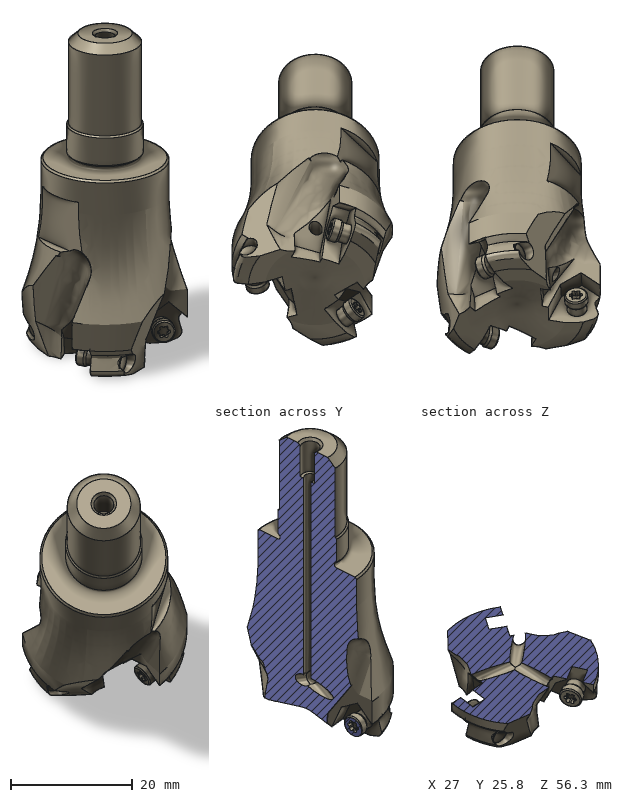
import cadquery as cq
import math


TOOTH_ANGLES = (60, 180, 300)

TOTAL_HEIGHT = 56.25
SHANK_RADIUS = 6.0
SHANK_TIP_RADIUS = 4.45
SHANK_CHAMFER_HEIGHT = 1.45
PILOT_RADIUS = 6.3
PILOT_TOP = 40.5
PILOT_BOTTOM = 35.4
PILOT_CHAMFER = 0.3
NECK_RADIUS = 5.85
NECK_TOP = 35.0
NECK_FILLET = 0.35
FLANGE_RADIUS = 10.5
FLANGE_TOP = 34.3
FLANGE_CHAMFER = 0.35
FLARE_TOP = 28.25
FLARE_BOTTOM = 10.1
CUTTER_RADIUS = 13.65
SHOULDER_Z = 5.45
RELIEF_RADIUS = 12.9
RELIEF_TOP = 4.4
RELIEF_BOTTOM = 3.9
RIM_RADIUS = 13.45
RIM_Z = 1.8
RIM_ARC_RADIUS = 1.7
RIM_LOWER_RADIUS = 12.7
RIM_LOWER_Z = 0.7
END_FACE_RADIUS = 10.95
DISH_RADIUS = 8.15
DISH_HEIGHT = 2.25

FLAT_DISTANCE = 9.45
FLAT_BOTTOM = 20.85
FLAT_TOP = 30.15

BORE_MOUTH_RADIUS = 2.1
BORE_RADIUS = 1.65
BORE_DEPTH = 6.75
COOLANT_RADIUS = 1.05
COOLANT_BOTTOM = 7.9

FLUTE_TOP = cq.Vector(11.85, -1.75, 18.5)
FLUTE_BOTTOM = cq.Vector(10.0, -8.15, 4.2)
FLUTE_TOP_RADIUS = 3.55
FLUTE_BOTTOM_RADIUS = 5.35
FLUTE_LEADING_ANGLE = 270
FLUTE_TOP_TANGENT = 127
FLUTE_BOTTOM_TANGENT = 170
STRIP_TOP_LENGTH = 4.4
STRIP_TOP_ANGLE = 62
STRIP_BOTTOM_LENGTH = 3.5
STRIP_BOTTOM_ANGLE = 80
STRIP_EXTENSION = 6.75
RUN_OUT_SLOPE = 0.1

BACK_DIRECTION = cq.Vector(0.72, -0.64, -0.24)
BACK_DISTANCE = 8.9
BACK_LIMIT_Y = -7.9

FACE_Y = -0.7
SEAT_Y = 2.3
CHIP_WALL_FOOT = (4.05, 0.0)
CHIP_WALL_LOW = (4.35, 3.25)
CHIP_WALL_HIGH = (14.55, 19.95)
CHIP_GAP_WIDTH = 4.9
SEAT_APEX = (10.5, 8.3)
SEAT_OUTER = (15.2, 3.95)
SEAT_INNER = (7.15, 5.85)
SEAT_FOOT = (4.8, 0.0)

OUTLET_RADIUS = 1.05
OUTLET_POINT = cq.Vector(6.85, -2.35, 6.65)

SCREW_HEAD_CENTER = cq.Vector(9.7, -0.9, 3.15)
SCREW_TAIL_CENTER = cq.Vector(9.8, 6.85, 2.7)
SCREW_AXIS = SCREW_TAIL_CENTER - SCREW_HEAD_CENTER
HEAD_RADIUS = 1.9
HEAD_HEIGHT = 1.8
HEAD_CONE_HEIGHT = 0.4
SCREW_RADIUS = 1.65
TAIL_CHAMFER = 0.1
HEAD_CHAMFER = 0.2
SOCKET_RADIUS = 0.8
SOCKET_LOBE_RADIUS = 0.3
SOCKET_LOBES = 6
SOCKET_DEPTH = 1.0

OVERCUT = 16.9


def turned_head():
    """Shank, pilot, flange, flared body and relieved rim as one revolved outline."""
    drop = FLARE_TOP - FLARE_BOTTOM
    flare = CUTTER_RADIUS - FLANGE_RADIUS
    flare_arc_radius = (flare**2 + drop**2) / (2 * flare)
    middle_drop = drop / 2
    middle_radius = FLANGE_RADIUS + flare_arc_radius - math.sqrt(flare_arc_radius**2 - middle_drop**2)
    outline = (
        cq.Workplane("XZ")
        .moveTo(0, DISH_HEIGHT)
        .lineTo(DISH_RADIUS, 0)
        .lineTo(END_FACE_RADIUS, 0)
        .lineTo(RIM_LOWER_RADIUS, RIM_LOWER_Z)
        .radiusArc((RIM_RADIUS, RIM_Z), -RIM_ARC_RADIUS)
        .lineTo(RELIEF_RADIUS, RELIEF_BOTTOM)
        .lineTo(RELIEF_RADIUS, RELIEF_TOP)
        .lineTo(CUTTER_RADIUS, SHOULDER_Z)
        .lineTo(CUTTER_RADIUS, FLARE_BOTTOM)
        .threePointArc((middle_radius, FLARE_TOP - middle_drop), (FLANGE_RADIUS, FLARE_TOP))
        .lineTo(FLANGE_RADIUS, FLANGE_TOP - FLANGE_CHAMFER)
        .lineTo(FLANGE_RADIUS - FLANGE_CHAMFER, FLANGE_TOP)
        .lineTo(NECK_RADIUS + NECK_FILLET, FLANGE_TOP)
        .radiusArc((NECK_RADIUS, FLANGE_TOP + NECK_FILLET), NECK_FILLET)
        .lineTo(NECK_RADIUS, NECK_TOP)
        .lineTo(PILOT_RADIUS, PILOT_BOTTOM)
        .lineTo(PILOT_RADIUS, PILOT_TOP - PILOT_CHAMFER)
        .lineTo(SHANK_RADIUS, PILOT_TOP)
        .lineTo(SHANK_RADIUS, TOTAL_HEIGHT - SHANK_CHAMFER_HEIGHT)
        .lineTo(SHANK_TIP_RADIUS, TOTAL_HEIGHT)
        .lineTo(0, TOTAL_HEIGHT)
        .close()
    )
    return outline.revolve(360, (0, 0, 0), (0, 1, 0))


def wrench_flats():
    """Cutters for the two flats on the +Y and -Y sides."""
    flats = cq.Workplane("XY")
    for side in (-1, 1):
        flats = flats.union(
            cq.Workplane("XY", origin=(0, side * (FLAT_DISTANCE + OVERCUT / 2), FLAT_BOTTOM))
            .rect(2 * OVERCUT, OVERCUT)
            .extrude(FLAT_TOP - FLAT_BOTTOM)
        )
    return flats


def central_bore():
    """Countersunk stepped bore down the axis with a conical end."""
    step_z = TOTAL_HEIGHT - BORE_DEPTH
    return (
        cq.Workplane("XZ")
        .moveTo(0, TOTAL_HEIGHT)
        .lineTo(BORE_MOUTH_RADIUS, TOTAL_HEIGHT)
        .lineTo(BORE_RADIUS, TOTAL_HEIGHT - (BORE_MOUTH_RADIUS - BORE_RADIUS))
        .lineTo(BORE_RADIUS, step_z)
        .lineTo(COOLANT_RADIUS, step_z)
        .lineTo(COOLANT_RADIUS, COOLANT_BOTTOM)
        .lineTo(0, COOLANT_BOTTOM - COOLANT_RADIUS)
        .close()
        .revolve(360, (0, 0, 0), (0, 1, 0))
    )


def polar(radius, angle):
    """Vector in the flute section: 0 degrees points outward, 90 degrees toward -Y."""
    return cq.Vector(radius * math.cos(math.radians(angle)), -radius * math.sin(math.radians(angle)))


def flute_section(center, radius, tangent_angle, strip_length, strip_angle):
    """Closed wire across the flute: an arc, then a flat strip on the trailing side."""
    arc_start = polar(radius, tangent_angle)
    arc_middle = polar(radius, (tangent_angle + FLUTE_LEADING_ANGLE) / 2)
    arc_end = polar(radius, FLUTE_LEADING_ANGLE)
    strip_end = arc_start + polar(strip_length, strip_angle)
    outer_end = strip_end + polar(STRIP_EXTENSION, strip_angle)
    plane = cq.Plane(origin=center, xDir=(1, 0, 0), normal=FLUTE_TOP - FLUTE_BOTTOM)
    return (
        cq.Workplane(plane)
        .moveTo(arc_start.x, arc_start.y)
        .threePointArc((arc_middle.x, arc_middle.y), (arc_end.x, arc_end.y))
        .lineTo(OVERCUT, arc_end.y)
        .lineTo(OVERCUT, outer_end.y)
        .lineTo(outer_end.x, outer_end.y)
        .close()
        .val()
    )


def flute():
    """Tapered channel with a ball end, straightened nearly parallel to Z at the cutting end."""
    low = flute_section(
        FLUTE_BOTTOM, FLUTE_BOTTOM_RADIUS, FLUTE_BOTTOM_TANGENT, STRIP_BOTTOM_LENGTH, STRIP_BOTTOM_ANGLE
    )
    high = flute_section(FLUTE_TOP, FLUTE_TOP_RADIUS, FLUTE_TOP_TANGENT, STRIP_TOP_LENGTH, STRIP_TOP_ANGLE)
    channel = cq.Solid.makeLoft([low, high], True)
    run_out = cq.Solid.extrudeLinear(low, [], cq.Vector(RUN_OUT_SLOPE, 0, -1) * OVERCUT)
    ball = cq.Workplane("XY", origin=FLUTE_TOP.toTuple()).sphere(FLUTE_TOP_RADIUS).val()
    return [channel, run_out, ball]


def back_flat():
    """Block that planes off the tooth back beside the flute, kept clear of the cutting face."""
    size = 2 * OVERCUT
    direction = BACK_DIRECTION.normalized()
    plane = cq.Plane(origin=direction * BACK_DISTANCE, xDir=(0, 0, 1), normal=direction)
    half_space = cq.Workplane(plane).rect(size, size).extrude(OVERCUT)
    limit = cq.Workplane("XZ", origin=(0, BACK_LIMIT_Y, 0)).rect(2 * size, 2 * size).extrude(size)
    return half_space.intersect(limit).val()


def chip_gap():
    """Space in front of the cutting face, bounded inward by a sloping wall."""
    return (
        cq.Workplane("XZ", origin=(0, FACE_Y, 0))
        .polyline([CHIP_WALL_FOOT, CHIP_WALL_LOW, CHIP_WALL_HIGH, (OVERCUT, CHIP_WALL_HIGH[1]), (OVERCUT, 0)])
        .close()
        .extrude(CHIP_GAP_WIDTH)
        .val()
    )


def insert_seat():
    """Recess behind the cutting face that would hold the insert."""
    return (
        cq.Workplane("XZ", origin=(0, SEAT_Y, 0))
        .polyline([SEAT_FOOT, SEAT_INNER, SEAT_APEX, SEAT_OUTER, (SEAT_OUTER[0], 0)])
        .close()
        .extrude(SEAT_Y - FACE_Y)
        .val()
    )


def coolant_outlet():
    """Drilled passage from the central bore to the chip wall."""
    start = cq.Vector(0, 0, COOLANT_BOTTOM)
    return cq.Solid.makeCylinder(OUTLET_RADIUS, 2 * OUTLET_POINT.Length, start, OUTLET_POINT - start)


def screw_plane():
    """Plane of the head face, facing along the screw toward its tail."""
    return cq.Plane(origin=SCREW_HEAD_CENTER, xDir=(1, 0, 0), normal=SCREW_AXIS)


def screw_hole():
    """Through hole along the screw axis, out through the back of the tooth."""
    return cq.Workplane(screw_plane()).circle(SCREW_RADIUS).extrude(OVERCUT).val()


def clamping_screw():
    """Chamfered head with a conical underside, plain shank and a lobed driving socket."""
    length = SCREW_AXIS.Length
    sideways = SCREW_AXIS.cross(cq.Vector(0, 0, 1))
    blank = (
        cq.Workplane(cq.Plane(origin=SCREW_HEAD_CENTER, xDir=SCREW_AXIS, normal=sideways))
        .lineTo(0, HEAD_RADIUS - HEAD_CHAMFER)
        .lineTo(HEAD_CHAMFER, HEAD_RADIUS)
        .lineTo(HEAD_HEIGHT - HEAD_CONE_HEIGHT, HEAD_RADIUS)
        .lineTo(HEAD_HEIGHT, SCREW_RADIUS)
        .lineTo(length - TAIL_CHAMFER, SCREW_RADIUS)
        .lineTo(length, SCREW_RADIUS - TAIL_CHAMFER)
        .lineTo(length, 0)
        .close()
        .revolve(360, (0, 0, 0), (1, 0, 0))
    )
    socket = cq.Workplane(screw_plane()).circle(SOCKET_RADIUS).extrude(SOCKET_DEPTH)
    lobes = (
        cq.Workplane(screw_plane())
        .polarArray(SOCKET_RADIUS, 0, 360, SOCKET_LOBES)
        .circle(SOCKET_LOBE_RADIUS)
        .extrude(SOCKET_DEPTH)
    )
    return blank.cut(socket).cut(lobes).val()


def at_tooth(shape, angle):
    """Copy of a master-tooth shape turned about Z to another tooth."""
    return shape.rotate(cq.Vector(0, 0, 0), cq.Vector(0, 0, 1), angle)


head = turned_head().cut(wrench_flats()).cut(central_bore()).val()
tooth_cutters = [*flute(), back_flat(), chip_gap(), insert_seat(), coolant_outlet(), screw_hole()]
master_screw = clamping_screw()
screws = []
for angle in TOOTH_ANGLES:
    for cutter in tooth_cutters:
        head = head.cut(at_tooth(cutter, angle))
    screws.append(at_tooth(master_screw, angle))
result = cq.Compound.makeCompound([*head.Solids(), *screws])